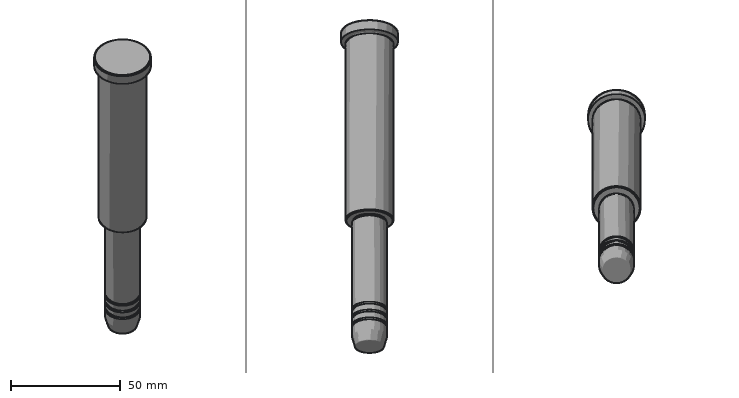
import cadquery as cq
import math

TOTAL_LENGTH = 160.0
HEAD_DIAMETER = 26.0
HEAD_THICKNESS = 5.0
BODY_DIAMETER = 22.0
BODY_LENGTH = 91.0
PIN_DIAMETER = 16.0

HEAD_CHAMFER = 0.5
BODY_CHAMFER = 0.5
TIP_FILLET = 0.5

TAPER_LENGTH = 5.0
TAPER_ANGLE = 15.0

SHOULDER_RELIEF_WIDTH = 1.0
SHOULDER_RELIEF_DEPTH = 0.5

HEAD_RELIEF_RADIUS = 0.5

GROOVE_COUNT = 3
GROOVE_RADIUS = 0.5
GROOVE_PITCH = 4.0
LOWEST_GROOVE_CENTER = 10.5

FULL_TURN = 360.0

HEAD_BOTTOM = TOTAL_LENGTH - HEAD_THICKNESS
BODY_BOTTOM = HEAD_BOTTOM - BODY_LENGTH


def make_blank():
    """Turned shaft without the half-round grooves: half profile revolved about Z."""
    head_radius = HEAD_DIAMETER / 2
    body_radius = BODY_DIAMETER / 2
    pin_radius = PIN_DIAMETER / 2
    tip_radius = pin_radius - TAPER_LENGTH * math.tan(math.radians(TAPER_ANGLE))
    profile = [
        (0, 0),
        (tip_radius, 0),
        (pin_radius, TAPER_LENGTH),
        (pin_radius, BODY_BOTTOM - SHOULDER_RELIEF_WIDTH),
        (pin_radius - SHOULDER_RELIEF_DEPTH, BODY_BOTTOM - SHOULDER_RELIEF_WIDTH),
        (pin_radius - SHOULDER_RELIEF_DEPTH, BODY_BOTTOM),
        (body_radius - BODY_CHAMFER, BODY_BOTTOM),
        (body_radius, BODY_BOTTOM + BODY_CHAMFER),
        (body_radius, HEAD_BOTTOM),
        (head_radius, HEAD_BOTTOM),
        (head_radius, TOTAL_LENGTH - HEAD_CHAMFER),
        (head_radius - HEAD_CHAMFER, TOTAL_LENGTH),
        (0, TOTAL_LENGTH),
    ]
    blank = cq.Workplane("XZ").polyline(profile).close().revolve(FULL_TURN, (0, 0), (0, 1))
    return blank.faces("<Z").edges().fillet(TIP_FILLET)


def half_round_groove(shaft_diameter, groove_radius, center_z):
    """Ring of round section that cuts a half-round groove into a shaft."""
    shaft_radius = shaft_diameter / 2
    section = cq.Workplane("XZ").center(shaft_radius, center_z).circle(groove_radius)
    return section.revolve(FULL_TURN, (-shaft_radius, 0), (-shaft_radius, 1))


def cut_head_relief(shaft):
    center_z = HEAD_BOTTOM - HEAD_RELIEF_RADIUS
    return shaft.cut(half_round_groove(BODY_DIAMETER, HEAD_RELIEF_RADIUS, center_z))


def cut_oil_grooves(shaft):
    for index in range(GROOVE_COUNT):
        center_z = LOWEST_GROOVE_CENTER + index * GROOVE_PITCH
        shaft = shaft.cut(half_round_groove(PIN_DIAMETER, GROOVE_RADIUS, center_z))
    return shaft


result = cut_oil_grooves(cut_head_relief(make_blank()))